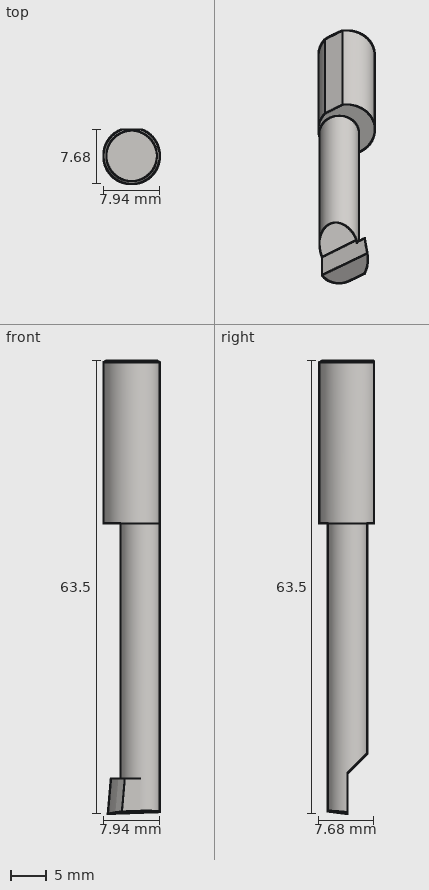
import cadquery as cq
import math

length = 63.49

shank_diameter = 7.94
shank_radius = shank_diameter / 2
shank_length = 22.8
width_over_flat = 7.68
flat_offset = width_over_flat - shank_radius
chamfer_radial = 0.43
chamfer_height = 0.25

neck_diameter = 5.56
neck_radius = neck_diameter / 2
neck_x = shank_radius - neck_radius
shoulder_z = length - shank_length

rake_runout_z = 5.7
rake_ramp_angle = 45

head_height = 5.0
side_relief_angle = 5
head_shift = head_height * math.tan(math.radians(side_relief_angle))
tip_x = -3.35

clearance_run = 1.1
clearance_depth = 1.93
clearance_bulge = 0.095
heel_run = 0.86

end_angle_x = 2
end_relief_y = 6

cutter_reach = 2 * shank_diameter


def make_shank():
    """Chamfered shank above the shoulder, with its flat cut along the full length."""
    shank = cq.Workplane("XY").workplane(offset=shoulder_z).circle(shank_radius).extrude(shank_length)
    shank = shank.faces(">Z").edges().chamfer(chamfer_height, chamfer_radial)
    flat_cutter = (
        cq.Workplane("XY")
        .box(cutter_reach, cutter_reach, length, centered=(True, False, False))
        .translate((0, flat_offset, 0))
    )
    return shank.cut(flat_cutter)


def make_neck():
    """Neck from the end face to the shoulder, with its lower +Y half removed."""
    neck = cq.Workplane("XY").center(neck_x, 0).circle(neck_radius).extrude(shoulder_z)
    ramp_top_z = rake_runout_z + cutter_reach * math.tan(math.radians(rake_ramp_angle))
    rake_profile = [
        (0, 0),
        (0, rake_runout_z),
        (cutter_reach, ramp_top_z),
        (cutter_reach, 0),
    ]
    rake_cutter = cq.Workplane("YZ").polyline(rake_profile).close().extrude(cutter_reach, both=True)
    return neck.cut(rake_cutter)


def add_head_outline(plane, corner_x):
    """Draw the head section, from the cutting corner round to the neck axis."""
    heel_start_x = corner_x + clearance_run
    chord = math.hypot(clearance_run, clearance_depth)
    bulge_x = corner_x + clearance_run / 2 - clearance_bulge * clearance_depth / chord
    bulge_y = -clearance_depth / 2 - clearance_bulge * clearance_run / chord
    return (
        plane.moveTo(corner_x, 0)
        .threePointArc((bulge_x, bulge_y), (heel_start_x, -clearance_depth))
        .lineTo(heel_start_x + heel_run, -neck_radius)
        .lineTo(neck_x, -neck_radius)
        .lineTo(neck_x, 0)
        .close()
    )


def make_head():
    """Head with its curved clearance and flat heel leaning outward towards the tip."""
    lower_outline = add_head_outline(cq.Workplane("XY"), tip_x)
    both_outlines = add_head_outline(lower_outline.workplane(offset=head_height), tip_x + head_shift)
    return both_outlines.loft(ruled=True)


def make_end_cutter():
    """Block whose tilted top face passes through the tip and forms the end face."""
    block_size = 2 * cutter_reach
    return (
        cq.Workplane("XY")
        .box(block_size, block_size, cutter_reach)
        .translate((0, 0, -cutter_reach / 2))
        .rotate((0, 0, 0), (0, 1, 0), -end_angle_x)
        .rotate((0, 0, 0), (1, 0, 0), -end_relief_y)
        .translate((tip_x, 0, 0))
    )


boring_bar = make_neck().union(make_head()).cut(make_end_cutter()).union(make_shank())
result = boring_bar.solids()